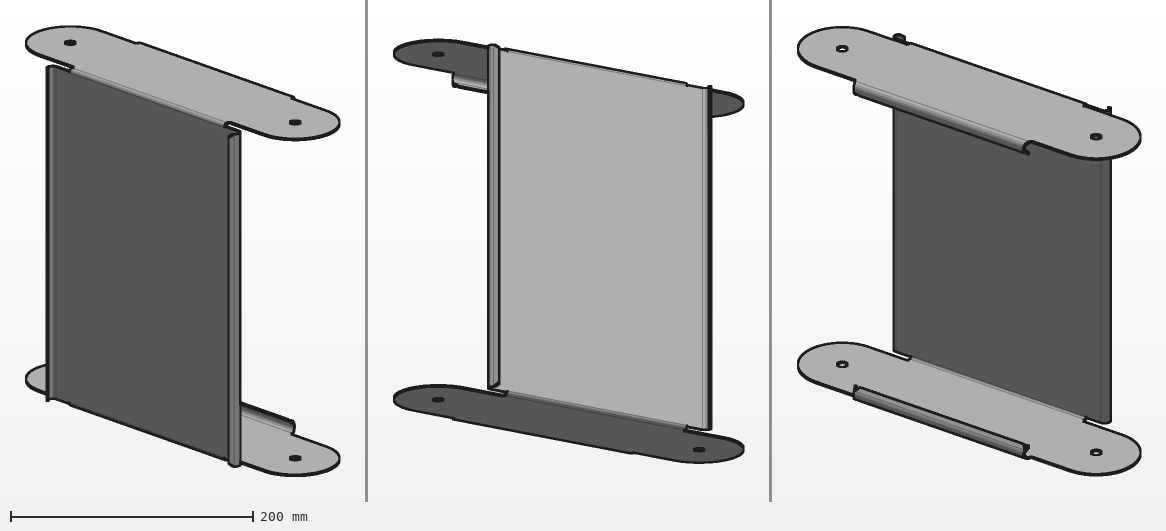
import cadquery as cq
import math

length = 331.0
depth = 98.0
height = 300.0
plate_back = 87.0
sheet = 1.5

hook_radius = 5.3
hook_depth = depth - plate_back + sheet
lip_chamfer = 3.3

panel_width = 218.0
panel_end_gap = 2.3
panel_half_height = height / 2 - panel_end_gap

ear_radius = 36.7
ear_center_x = length / 2 - ear_radius
hole_diameter = 9.0
plate_center_y = 43.0
fold_radius = 3.3
fold_width = 177.5
tab_width = 176.8
tab_taper = 2.3
neck_flare = 1.15

slant = math.sqrt(0.5)
inner_radius = hook_radius - sheet
lip_run = hook_depth - hook_radius * (1 + slant)


def hooked_edge(origin, outward, width_direction, width):
    """A 135 degree bend ending in a straight lip, swept over a width centred on the origin."""
    plane = cq.Plane(origin=origin, xDir=outward, normal=width_direction)
    outer_end = (hook_radius * slant, -hook_radius * slant)
    inner_end = (inner_radius * slant, -inner_radius * slant)
    return (
        cq.Workplane(plane)
        .moveTo(0, hook_radius)
        .threePointArc((hook_radius, 0), outer_end)
        .line(-lip_run, -lip_run)
        .line(-sheet * slant, sheet * slant)
        .lineTo(*inner_end)
        .threePointArc((inner_radius, 0), (0, inner_radius))
        .close()
        .extrude(width / 2, both=True)
    )


def lip_corner(corner, along, down):
    """Triangular cutter for the end of a lip; the corner is where its tip and end edges meet."""
    plane = cq.Plane(origin=corner, xDir=along, normal=cq.Vector(*along).cross(cq.Vector(*down)))
    return (
        cq.Workplane(plane)
        .polyline([(0, 0), (-lip_chamfer, 0), (0, -lip_chamfer)])
        .close()
        .extrude(2 * hook_radius, both=True)
    )


def make_panel():
    flat_half_width = panel_width / 2 - hook_radius
    panel = cq.Workplane("XY").box(2 * flat_half_width, sheet, 2 * panel_half_height)
    panel = panel.translate((0, sheet / 2, 0))
    hook_center_y = sheet - hook_radius
    tip_y = sheet - hook_depth
    for side in (-1, 1):
        hook = hooked_edge(
            (side * flat_half_width, hook_center_y, 0), (side, 0, 0), (0, 0, side), 2 * panel_half_height
        )
        for end in (-1, 1):
            corner = (side * flat_half_width, tip_y, end * panel_half_height)
            hook = hook.cut(lip_corner(corner, (0, 0, end), (0, -1, 0)))
        panel = panel.union(hook)
    return panel


def make_fold():
    """Quarter-round bend from the panel into the upper end plate."""
    top = height / 2
    inner = fold_radius - sheet
    center_z = top - fold_radius
    return (
        cq.Workplane("YZ")
        .moveTo(0, center_z)
        .threePointArc(
            (fold_radius * (1 - slant), center_z + fold_radius * slant), (fold_radius, top)
        )
        .lineTo(fold_radius, top - sheet)
        .threePointArc((fold_radius - inner * slant, center_z + inner * slant), (sheet, center_z))
        .close()
        .extrude(fold_width / 2, both=True)
    )


def make_tab():
    """Hooked tab at the back of the upper plate, narrowing around its bend and lip."""
    bend_y = plate_back - hook_radius
    tab = hooked_edge((0, bend_y, height / 2 - hook_radius), (0, 1, 0), (1, 0, 0), tab_width)
    half = tab_width / 2
    taper = (
        cq.Workplane("XY", origin=(0, 0, height / 2 - hook_depth))
        .polyline([
            (-half, bend_y), (half, bend_y),
            (half - tab_taper, plate_back), (-half + tab_taper, plate_back),
        ])
        .close()
        .extrude(hook_depth)
    )
    lip = (
        cq.Workplane("XY")
        .box(tab_width - 2 * tab_taper, 2 * hook_radius, hook_depth - hook_radius)
        .translate((0, bend_y, height / 2 - (hook_depth + hook_radius) / 2))
    )
    tab = tab.intersect(taper.union(lip))
    for side in (-1, 1):
        corner = (side * (half - tab_taper), bend_y, height / 2 - hook_depth)
        tab = tab.cut(lip_corner(corner, (side, 0, 0), (0, 0, -1)))
    return tab


def make_neck(width, neck_end, direction):
    """Flat strip from the plate centre to a bend, flaring where it leaves the plate edge."""
    half = width / 2
    plate_edge = plate_center_y + direction * ear_radius
    right_side = [
        (half + neck_flare, plate_center_y),
        (half + neck_flare, plate_edge),
        (half, plate_edge + direction * neck_flare),
        (half, neck_end),
    ]
    left_side = [(-x, y) for x, y in reversed(right_side)]
    return (
        cq.Workplane("XY", origin=(0, 0, height / 2 - sheet))
        .polyline(right_side + left_side)
        .close()
        .extrude(sheet)
    )


def make_end_plate():
    """Upper end plate with its fold, hooked tab and mounting holes."""
    plate = (
        cq.Workplane("XY", origin=(0, plate_center_y, height / 2 - sheet))
        .slot2D(length, 2 * ear_radius)
        .extrude(sheet)
    )
    front_neck = make_neck(fold_width, fold_radius, -1)
    back_neck = make_neck(tab_width, plate_back - hook_radius, 1)
    holes = (
        cq.Workplane("XY", origin=(0, plate_center_y, height / 2 - sheet))
        .pushPoints([(-ear_center_x, 0), (ear_center_x, 0)])
        .circle(hole_diameter / 2)
        .extrude(sheet)
    )
    return plate.union(front_neck).union(back_neck).cut(holes).union(make_fold()).union(make_tab())


panel = make_panel()
for end in (-1, 1):
    fold_trim = (
        cq.Workplane("XY")
        .box(fold_width, 2 * sheet, fold_radius)
        .translate((0, sheet / 2, end * (height - fold_radius) / 2))
    )
    panel = panel.cut(fold_trim)

upper_plate = make_end_plate()
lower_plate = upper_plate.mirror("XY")
result = panel.union(upper_plate).union(lower_plate)